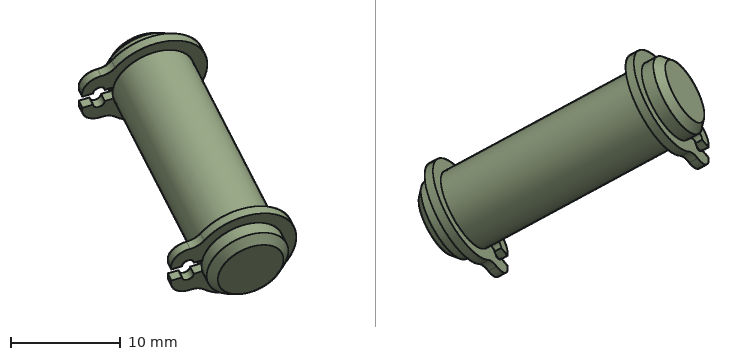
import cadquery as cq
import math

pin_length = 27.0
pin_diameter = 8.0
pin_chamfer = 0.78
groove_diameter = 7.6

clip_thickness = 0.92
clip_end_gap = 2.05
clip_radius = 5.18
clip_center_y = 0.1
clip_tip_y = -6.95

lug_radius = 1.75
lug_center_y = -5.2
lug_center_z = 1.15
blend_radius = 1.73
slot_width = 1.57
notch_radius = 0.57
notch_center_y = -5.32


def point_toward(start, end, distance):
    """Point on the line from start to end, at a distance from start."""
    fraction = distance / math.dist(start, end)
    return tuple(a + fraction * (b - a) for a, b in zip(start, end))


def blend_center():
    """Centre of the concave arc tangent to the outside of both ring and lug."""
    ring_reach = clip_radius + blend_radius
    lug_reach = lug_radius + blend_radius
    offset_y = lug_center_y - clip_center_y
    spacing = math.hypot(offset_y, lug_center_z)
    along = (ring_reach**2 - lug_reach**2 + spacing**2) / (2 * spacing)
    across = math.sqrt(ring_reach**2 - along**2)
    unit_y = offset_y / spacing
    unit_z = lug_center_z / spacing
    return (
        clip_center_y + along * unit_y + across * unit_z,
        along * unit_z - across * unit_y,
    )


def make_clip(start_x):
    ring_center = (clip_center_y, 0)
    lug_center = (lug_center_y, lug_center_z)
    blend = blend_center()

    ring_join = point_toward(ring_center, blend, clip_radius)
    blend_middle = point_toward(blend, point_toward(ring_center, lug_center, clip_radius), blend_radius)
    lug_join = point_toward(lug_center, blend, lug_radius)
    lug_diagonal = lug_radius * math.sqrt(0.5)
    lug_middle = (lug_center_y - lug_diagonal, lug_center_z + lug_diagonal)

    tip_reach = lug_center_y - clip_tip_y
    lug_end = (clip_tip_y, lug_center_z + math.sqrt(lug_radius**2 - tip_reach**2))

    def mirrored(point):
        return (point[0], -point[1])

    body = (
        cq.Workplane("YZ", origin=(start_x, 0, 0))
        .moveTo(*ring_join)
        .threePointArc(blend_middle, lug_join)
        .threePointArc(lug_middle, lug_end)
        .lineTo(*mirrored(lug_end))
        .threePointArc(mirrored(lug_middle), mirrored(lug_join))
        .threePointArc(mirrored(blend_middle), mirrored(ring_join))
        .threePointArc((clip_center_y + clip_radius, 0), ring_join)
        .close()
        .extrude(clip_thickness)
    )

    slot = (
        cq.Workplane("YZ", origin=(start_x, 0, 0))
        .center(clip_tip_y / 2, 0)
        .rect(-clip_tip_y, slot_width)
        .extrude(clip_thickness)
    )
    notches = (
        cq.Workplane("YZ", origin=(start_x, 0, 0))
        .pushPoints([(notch_center_y, side * slot_width / 2) for side in (-1, 1)])
        .circle(notch_radius)
        .extrude(clip_thickness)
    )
    return body.cut(slot).cut(notches)


def make_groove_cutter(start_x):
    return (
        cq.Workplane("YZ", origin=(start_x, 0, 0))
        .circle(pin_diameter / 2)
        .circle(groove_diameter / 2)
        .extrude(clip_thickness)
    )


def make_pin():
    return (
        cq.Workplane("YZ", origin=(-pin_length / 2, 0, 0))
        .circle(pin_diameter / 2)
        .extrude(pin_length)
        .edges("%CIRCLE")
        .chamfer(pin_chamfer)
    )


first_clip_x = -pin_length / 2 + clip_end_gap
last_clip_x = pin_length / 2 - clip_end_gap - clip_thickness

result = make_pin()
for clip_x in (first_clip_x, last_clip_x):
    result = result.cut(make_groove_cutter(clip_x)).union(make_clip(clip_x))